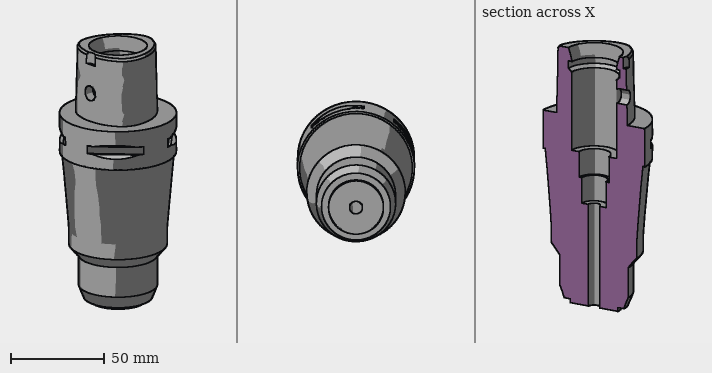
import cadquery as cq
import math

total_height = 145.0
flange_top = 106.9
flange_bottom = 85.0
neck_height = 0.5
taper_end = 41.0
collar_bottom = 32.3
nose_top = 26.1
nose_cone_top = 9.1
nose_shoulder = 2.2

flange_radius = 31.5
taper_top_radius = 30.3
collar_radius = 26.5
nose_radius = 21.3
shoulder_radius = 18.5
tip_radius = 14.8

shank_radius = 22.0
lobe_height = 1.28
shank_taper = 1 / 40
chamfer_height = 1.5
chamfer_width = 0.9
outline_points = 48

mouth_radius = 15.7
bore_radius = 13.8
mouth_depth = 6.2
groove_depth = 7.8
groove_radius = 15.7
groove_cone_depth = 11.7
bore_floor = 87.0
screw_head_radius = 9.1
screw_head_floor = 72.5
screw_radius = 7.4
screw_floor = 58.0
through_radius = 3.5

notch_radius = 5.0
notch_floor_offset = 18.3
notch_depth = 6.2
side_hole_radius = 4.0
side_hole_height = 122.5
side_hole_floor_offset = 14.6

slot_count = 4
slot_height = 95.1
slot_width = 4.4
slot_floor_offset = 27.5
slot_flare_offset = 29.0
slot_flare = 1.7


def shank_outline(z, radius):
    """Three-lobed closed outline, with one lobe towards +Y and a flat towards -Y."""
    points = []
    for i in range(outline_points):
        turn = 2 * math.pi * i / outline_points
        reach = radius - lobe_height * math.cos(3 * turn)
        slope = 3 * lobe_height * math.sin(3 * turn)
        along = -reach * math.cos(turn) + slope * math.sin(turn)
        across = reach * math.sin(turn) + slope * math.cos(turn)
        points.append(cq.Vector(across, along, z))
    return cq.Wire.assembleEdges([cq.Edge.makeSpline(points, periodic=True)])


def make_shank():
    chamfer_start = total_height - chamfer_height
    end_radius = shank_radius - shank_taper * (chamfer_start - flange_top)
    base = shank_outline(flange_top, shank_radius)
    shoulder = shank_outline(chamfer_start, end_radius)
    rim = shank_outline(total_height, end_radius - chamfer_width)
    taper = cq.Workplane(cq.Solid.makeLoft([base, shoulder], True))
    chamfer = cq.Workplane(cq.Solid.makeLoft([shoulder, rim], True))
    return taper.union(chamfer)


def revolve(profile):
    """Turn (radius, height) points around the Z axis."""
    return cq.Workplane("XZ").polyline(profile).close().revolve(360, (0, 0), (0, 1))


def make_body():
    return revolve([
        (0, 0),
        (tip_radius, 0),
        (tip_radius, nose_shoulder),
        (shoulder_radius, nose_shoulder),
        (nose_radius, nose_cone_top),
        (nose_radius, nose_top),
        (collar_radius, collar_bottom),
        (collar_radius, taper_end),
        (taper_top_radius, flange_bottom - neck_height),
        (taper_top_radius, flange_bottom),
        (flange_radius, flange_bottom),
        (flange_radius, flange_top),
        (0, flange_top),
    ])


def make_bore():
    groove_cone_end = groove_cone_depth + groove_radius - bore_radius
    return revolve([
        (0, total_height),
        (mouth_radius, total_height),
        (bore_radius, total_height - mouth_depth),
        (bore_radius, total_height - groove_depth),
        (groove_radius, total_height - groove_depth),
        (groove_radius, total_height - groove_cone_depth),
        (bore_radius, total_height - groove_cone_end),
        (bore_radius, bore_floor),
        (screw_head_radius, bore_floor),
        (screw_head_radius, screw_head_floor),
        (screw_radius, screw_head_floor),
        (screw_radius, screw_floor),
        (through_radius, screw_floor),
        (through_radius, 0),
        (0, 0),
    ])


def make_notch():
    center_y = -notch_floor_offset - notch_radius
    notch = cq.Workplane("XY", origin=(0, center_y, total_height - notch_depth))
    return notch.circle(notch_radius).extrude(notch_depth)


def make_side_hole():
    hole = cq.Workplane("XZ", origin=(0, -side_hole_floor_offset, side_hole_height))
    return hole.circle(side_hole_radius).extrude(flange_radius - side_hole_floor_offset)


def make_gripper_slot(angle):
    half_floor = slot_width / 2
    half_mouth = half_floor + slot_flare
    section = [
        (slot_floor_offset, -half_floor),
        (slot_flare_offset, -half_floor),
        (flange_radius, -half_mouth),
        (flange_radius, half_mouth),
        (slot_flare_offset, half_floor),
        (slot_floor_offset, half_floor),
    ]
    slot = cq.Workplane("XZ", origin=(0, 0, slot_height)).polyline(section).close()
    return slot.extrude(flange_radius, both=True).rotate((0, 0, 0), (0, 0, 1), angle)


result = make_body().union(make_shank())
result = result.cut(make_bore()).cut(make_notch()).cut(make_side_hole())
for index in range(slot_count):
    result = result.cut(make_gripper_slot((index + 0.5) * 360 / slot_count))